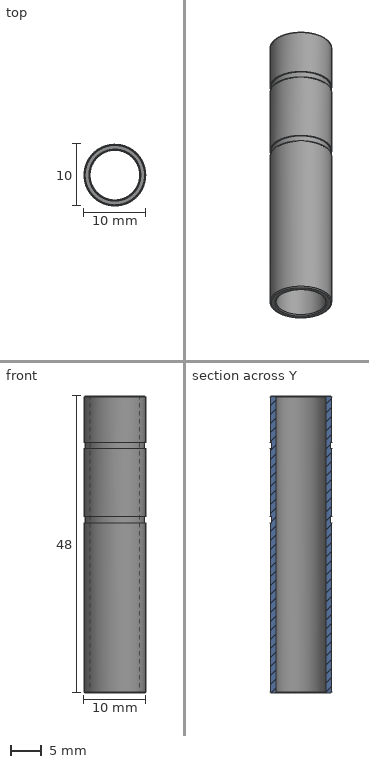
import cadquery as cq

length = 48.0
outer_diameter = 10.0
bore_diameter = 8.0
edge_chamfer = 0.2

groove_diameter = 9.6
groove_width = 1.0
first_groove_distance = 7.5
groove_spacing = 12.0
groove_count = 2


def ring(outer, inner, bottom, height):
    """Vertical ring on the Z axis, starting at the given bottom height."""
    base = cq.Workplane("XY").workplane(offset=bottom)
    return base.circle(outer / 2).circle(inner / 2).extrude(height)


result = ring(outer_diameter, bore_diameter, 0, length)
result = result.faces("<Z or >Z").edges().chamfer(edge_chamfer)

for index in range(groove_count):
    upper_wall = length - first_groove_distance - index * groove_spacing
    lower_wall = upper_wall - groove_width
    result = result.cut(ring(outer_diameter, groove_diameter, lower_wall, groove_width))